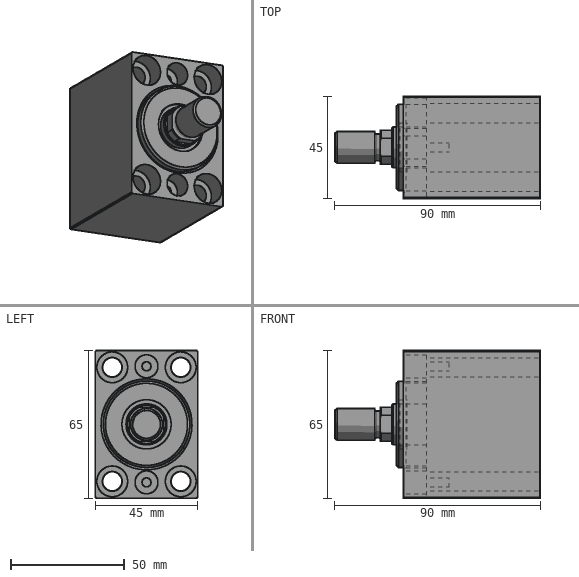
import cadquery as cq


TOTAL_LENGTH = 90.0
BLOCK_LENGTH = 60.0
BLOCK_FRONT_X = TOTAL_LENGTH - BLOCK_LENGTH

BLOCK_WIDTH = 45.0
BLOCK_HEIGHT = 65.0
BLOCK_EDGE_CHAMFER = 0.5

SCREW_OFFSET_Y = 15.0
SCREW_OFFSET_Z = 25.0
SCREW_HOLE_DIAMETER = 8.5
SCREW_HEAD_DIAMETER = 13.5
SCREW_HEAD_DEPTH = 10.0

PORT_OFFSET_Z = 25.5
PORT_DIAMETER = 10.1
PORT_DEPTH = 10.0
PORT_DRILL_DIAMETER = 4.0
PORT_DRILL_DEPTH = 2 * PORT_DEPTH

GLAND_RADIUS = 19.0
GLAND_CHAMFER = 1.0
GLAND_PROTRUSION = 3.0
GLAND_SEAT_DEPTH = 10.0
GLAND_FRONT_X = BLOCK_FRONT_X - GLAND_PROTRUSION
GLAND_BACK_X = BLOCK_FRONT_X + GLAND_SEAT_DEPTH

WIPER_RADIUS = 10.8
WIPER_RECESS = 1.5
WIPER_THICKNESS = 3.0
WIPER_FRONT_X = GLAND_FRONT_X + WIPER_RECESS
WIPER_BACK_X = WIPER_FRONT_X + WIPER_THICKNESS

THREAD_RADIUS = 7.0
THREAD_END_X = 17.55
THREAD_CHAMFER = 0.9
UNDERCUT_RADIUS = 5.9
UNDERCUT_FILLET = 0.5
FLATS_START_X = 20.0
FLATS_WIDTH = 15.0
FLATS_CORNER_RADIUS = 8.5
FLATS_CORNER_CHAMFER = 0.3
SHAFT_START_X = 24.9
SHAFT_RADIUS = 9.0
SHAFT_CHAMFER = 0.5


def disc(start_x, end_x, radius):
    """Cylinder on the X axis between two X positions."""
    return cq.Workplane("YZ", origin=(start_x, 0, 0)).circle(radius).extrude(end_x - start_x)


def front_holes(centers, diameter, depth):
    """Cylinders that go into the block from its front face."""
    face = cq.Workplane("YZ", origin=(BLOCK_FRONT_X, 0, 0))
    return face.pushPoints(centers).circle(diameter / 2).extrude(depth)


def make_block():
    body = (
        cq.Workplane("YZ", origin=(BLOCK_FRONT_X, 0, 0))
        .rect(BLOCK_WIDTH, BLOCK_HEIGHT)
        .extrude(BLOCK_LENGTH)
        .edges("|X")
        .chamfer(BLOCK_EDGE_CHAMFER)
    )

    body = body.cut(disc(BLOCK_FRONT_X, GLAND_BACK_X, GLAND_RADIUS))
    mouth = cq.Solid.makeCone(
        GLAND_RADIUS + GLAND_CHAMFER,
        GLAND_RADIUS,
        GLAND_CHAMFER,
        pnt=cq.Vector(BLOCK_FRONT_X, 0, 0),
        dir=cq.Vector(1, 0, 0),
    )
    body = body.cut(cq.Workplane(obj=mouth))

    screw_centers = [
        (y, z)
        for y in (-SCREW_OFFSET_Y, SCREW_OFFSET_Y)
        for z in (-SCREW_OFFSET_Z, SCREW_OFFSET_Z)
    ]
    body = body.cut(front_holes(screw_centers, SCREW_HOLE_DIAMETER, BLOCK_LENGTH))
    body = body.cut(front_holes(screw_centers, SCREW_HEAD_DIAMETER, SCREW_HEAD_DEPTH))

    port_centers = [(0, -PORT_OFFSET_Z), (0, PORT_OFFSET_Z)]
    body = body.cut(front_holes(port_centers, PORT_DIAMETER, PORT_DEPTH))
    return body.cut(front_holes(port_centers, PORT_DRILL_DIAMETER, PORT_DRILL_DEPTH))


def make_gland():
    cover = disc(GLAND_FRONT_X, GLAND_BACK_X, GLAND_RADIUS).faces("<X").edges().chamfer(GLAND_CHAMFER)
    cover = cover.cut(disc(GLAND_FRONT_X, GLAND_BACK_X, SHAFT_RADIUS))
    return cover.cut(disc(GLAND_FRONT_X, WIPER_BACK_X, WIPER_RADIUS))


def make_wiper():
    ring = disc(WIPER_FRONT_X, WIPER_BACK_X, WIPER_RADIUS)
    return ring.cut(disc(WIPER_FRONT_X, WIPER_BACK_X, SHAFT_RADIUS))


def make_undercut():
    """Undercut between thread and flats, with a concave fillet at both ends."""
    fillet_top = UNDERCUT_RADIUS + UNDERCUT_FILLET
    return (
        cq.Workplane("XY")
        .moveTo(THREAD_END_X, 0)
        .lineTo(THREAD_END_X, fillet_top)
        .radiusArc((THREAD_END_X + UNDERCUT_FILLET, UNDERCUT_RADIUS), -UNDERCUT_FILLET)
        .lineTo(FLATS_START_X - UNDERCUT_FILLET, UNDERCUT_RADIUS)
        .radiusArc((FLATS_START_X, fillet_top), -UNDERCUT_FILLET)
        .lineTo(FLATS_START_X, 0)
        .close()
        .revolve(360, (0, 0, 0), (1, 0, 0))
    )


def make_wrench_section():
    """Round section with four flats, its front corners chamfered."""
    corners = disc(FLATS_START_X, SHAFT_START_X, FLATS_CORNER_RADIUS)
    corners = corners.faces("<X").edges().chamfer(FLATS_CORNER_CHAMFER)
    square = (
        cq.Workplane("YZ", origin=(FLATS_START_X, 0, 0))
        .rect(FLATS_WIDTH, FLATS_WIDTH)
        .extrude(SHAFT_START_X - FLATS_START_X)
    )
    return corners.intersect(square)


def make_rod():
    thread = disc(0, THREAD_END_X, THREAD_RADIUS).faces("<X").edges().chamfer(THREAD_CHAMFER)
    shaft = disc(SHAFT_START_X, GLAND_BACK_X, SHAFT_RADIUS).faces("<X").edges().chamfer(SHAFT_CHAMFER)
    return thread.union(make_undercut()).union(make_wrench_section()).union(shaft)


block = make_block()
gland = make_gland()
wiper = make_wiper()
rod = make_rod()

result = cq.Compound.makeCompound([block.val(), gland.val(), wiper.val(), rod.val()])